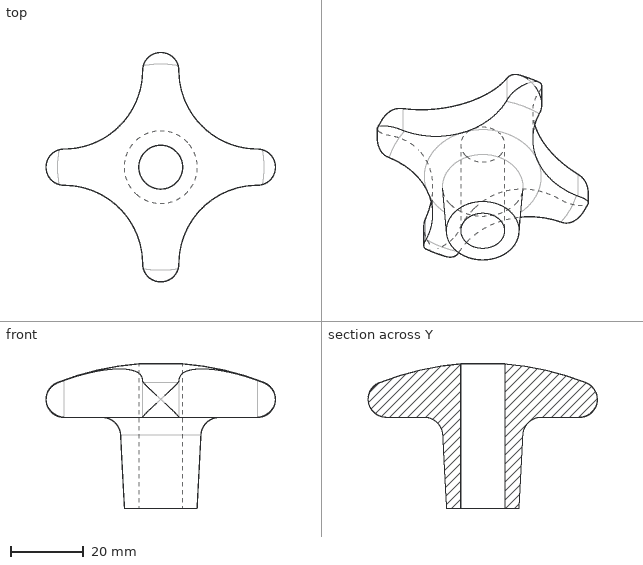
import cadquery as cq
import math

TIP_RADIUS = 31.5
ARM_COUNT = 4
ARM_END_RADIUS = 5.0
HEAD_BOTTOM_Z = 25.0
DOME_APEX_Z = 40.0
BORE_DIAMETER = 12.0
STEM_BOTTOM_RADIUS = 10.0
STEM_DRAFT = math.radians(3.0)
NECK_FILLET = 5.0

RIM_CENTER_R = TIP_RADIUS - ARM_END_RADIUS
RIM_CENTER_Z = HEAD_BOTTOM_Z + ARM_END_RADIUS

RIM_DEPTH = DOME_APEX_Z - RIM_CENTER_Z
DOME_RADIUS = (RIM_CENTER_R**2 + RIM_DEPTH**2 - ARM_END_RADIUS**2) / (2 * (RIM_DEPTH - ARM_END_RADIUS))
DOME_CENTER_Z = DOME_APEX_Z - DOME_RADIUS

HOLLOW_CENTER = RIM_CENTER_R
HOLLOW_RADIUS = HOLLOW_CENTER - ARM_END_RADIUS


def dome_point(angle):
    """Point (r, z) of the dome section at an angle from the axis."""
    return (DOME_RADIUS * math.sin(angle), DOME_CENTER_Z + DOME_RADIUS * math.cos(angle))


def make_head_blank():
    """Round domed disc with a fully rounded rim."""
    rim_angle = math.atan2(RIM_CENTER_R, RIM_CENTER_Z - DOME_CENTER_Z)
    return (
        cq.Workplane("XZ")
        .moveTo(0, HEAD_BOTTOM_Z)
        .lineTo(RIM_CENTER_R, HEAD_BOTTOM_Z)
        .threePointArc((TIP_RADIUS, RIM_CENTER_Z), dome_point(rim_angle))
        .threePointArc(dome_point(rim_angle / 2), (0, DOME_APEX_Z))
        .close()
        .revolve(360, (0, 0, 0), (0, 1, 0))
    )


def turned(x, y, angle):
    """Point (x, y) turned about the axis by an angle."""
    return (
        x * math.cos(angle) - y * math.sin(angle),
        x * math.sin(angle) + y * math.cos(angle),
    )


def make_star_prism():
    """Vertical prism with the star outline: a rounded arm end, then a hollow, per arm."""
    hollow_middle = HOLLOW_CENTER - HOLLOW_RADIUS * math.sqrt(0.5)
    outline = cq.Workplane("XY").workplane(offset=HEAD_BOTTOM_Z).moveTo(RIM_CENTER_R, -ARM_END_RADIUS)
    for arm in range(ARM_COUNT):
        angle = arm * 2 * math.pi / ARM_COUNT
        arm_tip = turned(TIP_RADIUS, 0, angle)
        hollow_start = turned(RIM_CENTER_R, ARM_END_RADIUS, angle)
        hollow_deepest = turned(hollow_middle, hollow_middle, angle)
        hollow_end = turned(ARM_END_RADIUS, RIM_CENTER_R, angle)
        outline = outline.threePointArc(arm_tip, hollow_start)
        outline = outline.threePointArc(hollow_deepest, hollow_end)
    return outline.close().extrude(DOME_APEX_Z - HEAD_BOTTOM_Z)


def make_stem():
    """Tapered stem flaring tangentially into the underside of the head."""
    fillet_z = HEAD_BOTTOM_Z - NECK_FILLET
    fillet_r = STEM_BOTTOM_RADIUS + fillet_z * math.tan(STEM_DRAFT) + NECK_FILLET / math.cos(STEM_DRAFT)

    def fillet_point(angle):
        return (fillet_r - NECK_FILLET * math.cos(angle), fillet_z + NECK_FILLET * math.sin(angle))

    middle_angle = (STEM_DRAFT + math.pi / 2) / 2
    return (
        cq.Workplane("XZ")
        .lineTo(STEM_BOTTOM_RADIUS, 0)
        .lineTo(*fillet_point(STEM_DRAFT))
        .threePointArc(fillet_point(middle_angle), (fillet_r, HEAD_BOTTOM_Z))
        .lineTo(0, HEAD_BOTTOM_Z)
        .close()
        .revolve(360, (0, 0, 0), (0, 1, 0))
    )


def make_bore():
    """Through bore along the axis."""
    return cq.Workplane("XY").circle(BORE_DIAMETER / 2).extrude(DOME_APEX_Z)


head = make_head_blank().intersect(make_star_prism())
result = head.union(make_stem()).cut(make_bore())